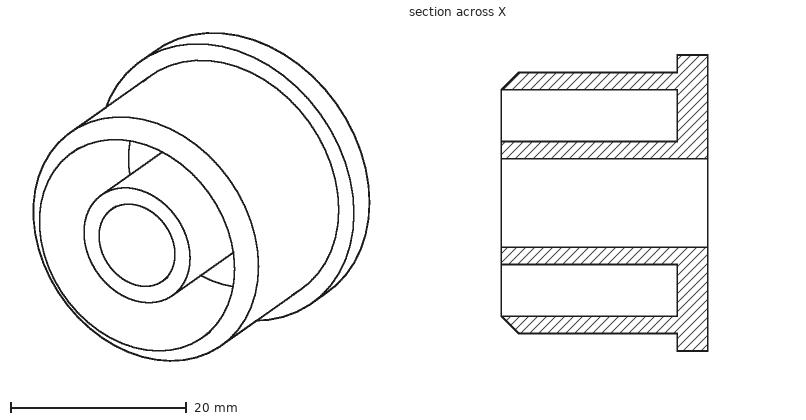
import cadquery as cq

flange_diameter = 33.7
flange_thickness = 3.5
body_diameter = 29.7
total_length = 23.5
rim_chamfer = 2.0
hub_diameter = 14.0
bore_diameter = 10.0

pocket_diameter = body_diameter - 2 * rim_chamfer
pocket_depth = total_length - flange_thickness


def cylinder(diameter, length):
    """Cylinder on the Y axis, from the back face (Y = 0) toward -Y."""
    return cq.Workplane("XZ").circle(diameter / 2).extrude(length)


def annular_pocket():
    """Ring-shaped pocket around the hub, open at the front rim."""
    return (
        cq.Workplane("XZ", origin=(0, -flange_thickness, 0))
        .circle(pocket_diameter / 2)
        .circle(hub_diameter / 2)
        .extrude(pocket_depth)
    )


flange = cylinder(flange_diameter, flange_thickness)
body = cylinder(body_diameter, total_length).faces("<Y").chamfer(rim_chamfer)
bore = cylinder(bore_diameter, total_length)

result = flange.union(body).cut(annular_pocket()).cut(bore)